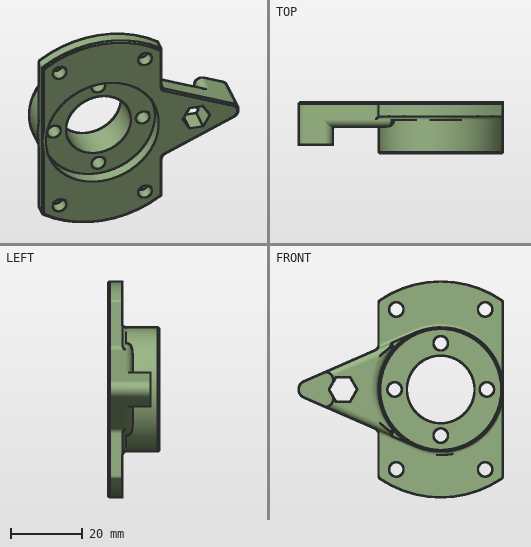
import cadquery as cq
import math

plate_dia = 60.8
plate_width = 35.0
plate_thickness = 4.0
plate_corner_radius = 1.0
mount_spacing_x = 25.0
mount_spacing_z = 45.0
hole_dia = 4.0

hub_dia = plate_width
hub_height = 14.5
bore_dia = 19.0
recess_dia = 33.0
recess_depth = plate_thickness
hub_bolt_circle_dia = 25.95
hub_bolt_count = 4

tip_radius = 2.5
tip_reach = 40.0
base_height = 5.0
arm_height = 7.0
arm_end_gap = 7.4
hook_height = 12.0
hook_reach = 30.3
hex_across_corners = 7.9
hex_x = -27.5

foot_fillet = base_height - plate_thickness
junction_fillet = 1.5
arm_round = arm_height - base_height
hook_foot_fillet = 0.35
edge_chamfer = 0.5

pick_margin = 0.3

hub_radius = hub_dia / 2
tip_x = tip_radius - tip_reach
side_sin = (hub_radius - tip_radius) / -tip_x
side_cos = math.sqrt(1 - side_sin**2)
hub_tangent = (-hub_radius * side_sin, hub_radius * side_cos)
tip_tangent = (tip_x - tip_radius * side_sin, tip_radius * side_cos)


def mirrored(point):
    return (point[0], -point[1])


def disc(diameter, height):
    return cq.Workplane("XZ").circle(diameter / 2).extrude(height)


def slab(width, height):
    """Rectangle as tall as the plate in Z, centred on the hub axis."""
    return cq.Workplane("XZ").rect(width, plate_dia).extrude(height)


def teardrop(height):
    """Hub circle and tip circle joined by their outer tangents."""
    return (
        cq.Workplane("XZ")
        .moveTo(*mirrored(hub_tangent))
        .threePointArc((hub_radius, 0), hub_tangent)
        .lineTo(*tip_tangent)
        .threePointArc((-tip_reach, 0), mirrored(tip_tangent))
        .close()
        .extrude(height)
    )


def footprint(height):
    """Plate outline merged with the teardrop, outer and inner corners rounded."""
    plate = disc(plate_dia, height).intersect(slab(plate_width, height))
    plate = plate.edges("|Y").fillet(plate_corner_radius)
    left = -plate_width / 2
    arm_corners = cq.selectors.BoxSelector(
        (left - pick_margin, -height, -hub_radius), (left + pick_margin, 0, hub_radius)
    )
    return plate.union(teardrop(height)).edges("|Y").edges(arm_corners).fillet(junction_fillet)


def plate_and_base():
    """Teardrop base blended into the plate, trimmed to the common footprint."""
    oversize = slab(2 * plate_dia, plate_thickness)
    foot = cq.selectors.BoxSelector(
        (-tip_reach, -plate_thickness - pick_margin, -hub_radius),
        (hub_radius, -plate_thickness + pick_margin, hub_radius),
    )
    blended = oversize.union(teardrop(arm_height)).edges(foot).fillet(foot_fillet)
    return blended.intersect(footprint(base_height)).faces(">Y").chamfer(edge_chamfer)


def hub():
    """Round hub with a chamfered front rim."""
    return disc(hub_dia, hub_height).faces("<Y").chamfer(edge_chamfer)


def arm_face():
    """Raised arm face, rounded along its sides and down into a groove around the hub."""
    end = (
        hub_tangent[0] - arm_end_gap * side_cos,
        hub_tangent[1] - arm_end_gap * side_sin,
    )
    face = (
        cq.Workplane("XZ", origin=(0, -plate_thickness, 0))
        .moveTo(-arm_end_gap / side_cos, 0)
        .lineTo(*end)
        .lineTo(*tip_tangent)
        .threePointArc((-tip_reach, 0), mirrored(tip_tangent))
        .lineTo(*mirrored(end))
        .close()
        .extrude(arm_height - plate_thickness)
        .faces("<Y")
        .edges()
        .fillet(arm_round)
    )
    groove_radius = hub_radius + arm_round
    groove_mid = arm_round * math.sqrt(0.5)
    groove = (
        cq.Workplane("XY")
        .moveTo(0, -base_height)
        .lineTo(hub_radius, -base_height)
        .threePointArc((groove_radius - groove_mid, -base_height - groove_mid), (groove_radius, -arm_height))
        .lineTo(0, -arm_height)
        .close()
        .revolve(360, (0, 0, 0), (0, 1, 0))
    )
    return face.cut(groove)


def hook():
    """Tip of the teardrop carried further forward, its two inner corners rounded."""
    block = slab(2 * plate_dia, hook_height).translate((-plate_dia - hook_reach, -plate_thickness, 0))
    block = teardrop(hook_height).intersect(block)
    return block.edges("|Y and >X").fillet(arm_round)


def through_holes():
    """Hub bolt holes, mounting holes, bore and the hexagon in the arm."""
    sketch = cq.Workplane("XZ")
    hub_bolts = sketch.polarArray(hub_bolt_circle_dia / 2, 0, 360, hub_bolt_count)
    mounts = sketch.rarray(mount_spacing_x, mount_spacing_z, 2, 2)
    hexagon = sketch.center(hex_x, 0).polygon(6, hex_across_corners)
    tools = disc(bore_dia, hub_height).union(hexagon.extrude(hub_height))
    for holes in (hub_bolts, mounts):
        tools = tools.union(holes.circle(hole_dia / 2).extrude(hub_height))
    return tools


def arm():
    """Raised face and hook, with a small fillet where the hook stands on the face."""
    joined = arm_face().union(hook())
    hook_foot = cq.selectors.BoxSelector(
        (-hook_reach - pick_margin, -arm_height - pick_margin, -hub_radius),
        (-hook_reach + pick_margin, -arm_height + pick_margin, hub_radius),
    )
    return joined.edges(hook_foot).fillet(hook_foot_fillet)


result = plate_and_base().union(arm()).union(hub())
result = result.cut(disc(recess_dia, recess_depth)).cut(through_holes())